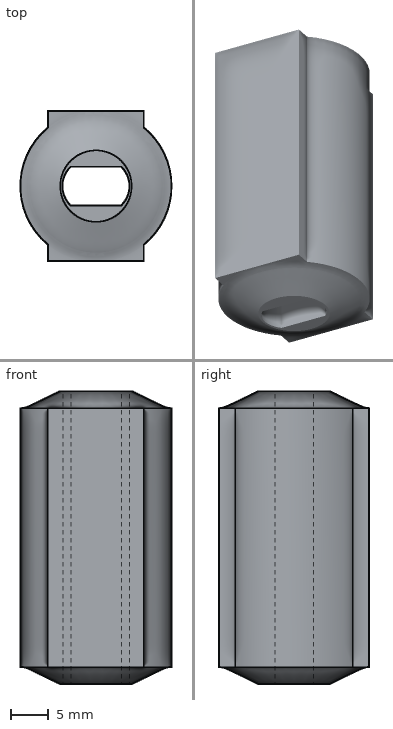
import cadquery as cq
import math

total_height = 39.0
body_height = 34.48
barrel_radius = 10.08
slab_width = 12.8
slab_depth = 20.0
cap_top_radius = 4.75
cap_slope_deg = 64.2
slot_length = 8.9
slot_flat_length = 6.7
slot_width = 5.15

half_height = total_height / 2
half_body = body_height / 2
cap_height = (total_height - body_height) / 2

rise_angle = math.radians(90 - cap_slope_deg)
cone_base_radius = cap_top_radius + cap_height / math.tan(rise_angle)
tangent_length = barrel_radius - cone_base_radius
blend_radius = tangent_length / math.tan(rise_angle / 2)


def make_cap():
    """Conical cap with a concave foot, standing on the upper barrel end."""
    foot_end = (
        cone_base_radius - tangent_length * math.cos(rise_angle),
        half_body + tangent_length * math.sin(rise_angle),
    )
    foot_middle = (
        barrel_radius - blend_radius * math.sin(rise_angle / 2),
        half_body + blend_radius * (1 - math.cos(rise_angle / 2)),
    )
    return (
        cq.Workplane("XZ")
        .moveTo(0, half_body)
        .lineTo(barrel_radius, half_body)
        .threePointArc(foot_middle, foot_end)
        .lineTo(cap_top_radius, half_height)
        .lineTo(0, half_height)
        .close()
        .revolve(360, (0, 0, 0), (0, 1, 0))
    )


def make_body():
    """Round barrel joined to a flat-sided slab of the same height."""
    barrel = cq.Workplane("XY").circle(barrel_radius).extrude(half_body, both=True)
    slab = cq.Workplane("XY").box(slab_width, slab_depth, body_height)
    return barrel.union(slab)


def make_slot():
    """Through hole with two parallel flats and bulging arc ends."""
    flat_x = slot_flat_length / 2
    flat_y = slot_width / 2
    end_x = slot_length / 2
    return (
        cq.Workplane("XY")
        .moveTo(-flat_x, -flat_y)
        .lineTo(flat_x, -flat_y)
        .threePointArc((end_x, 0), (flat_x, flat_y))
        .lineTo(-flat_x, flat_y)
        .threePointArc((-end_x, 0), (-flat_x, -flat_y))
        .close()
        .extrude(half_height, both=True)
    )


upper_cap = make_cap()
lower_cap = upper_cap.mirror("XY")
solid_part = make_body().union(upper_cap).union(lower_cap)

envelope = cq.Workplane("XY").box(2 * barrel_radius, slab_depth, total_height)
result = solid_part.intersect(envelope).cut(make_slot())